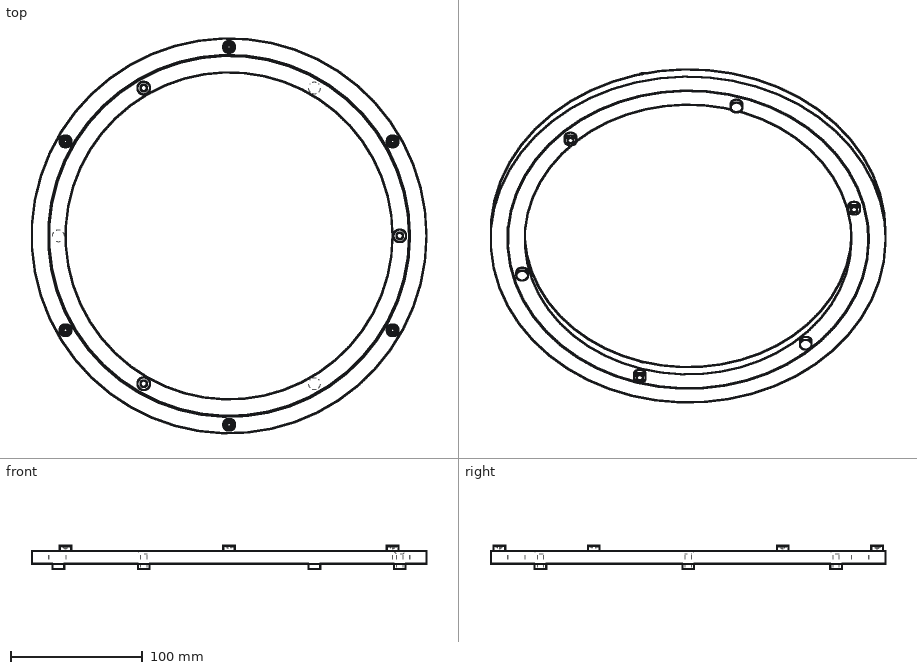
import cadquery as cq
import math

outer_ring_od = 300.0
outer_ring_id = 274.5
inner_ring_od = 273.5
inner_ring_id = 248.0
ring_height = 10.0

overall_height = 18.0
boss_height = (overall_height - ring_height) / 2
boss_diameter = 9.0
boss_count = 6

outer_boss_radius = 143.5
outer_boss_start = 30.0
cup_diameter = 7.2
socket_diameter = 4.8
pilot_diameter = 3.0
step_depth = 0.5
cone_angle = 118.0

inner_boss_radius = 129.5
inner_boss_start = 0.0
screw_hole_count = boss_count // 2
screw_hole_diameter = 4.8
countersink_diameter = 9.5
countersink_angle = 90.0

ring_top = ring_height / 2
ring_bottom = -ring_top
boss_top = ring_top + boss_height


def make_ring(outside_diameter, inside_diameter):
    """Flat ring centred on Z = 0."""
    base = cq.Workplane("XY", origin=(0, 0, ring_bottom))
    return base.circle(outside_diameter / 2).circle(inside_diameter / 2).extrude(ring_height)


def bolt_circle(z, radius, start_angle, count):
    """Evenly spaced points on a circle at height z."""
    return cq.Workplane("XY", origin=(0, 0, z)).polarArray(radius, start_angle, 360, count)


def make_recess_cutter():
    """Stepped recess: shallow cup, socket and pilot, closed by a cone; its mouth is at boss_top."""
    cup_floor = boss_top - step_depth
    socket_floor = cup_floor - step_depth
    pilot_floor = socket_floor - step_depth
    cone_depth = pilot_diameter / 2 / math.tan(math.radians(cone_angle / 2))
    half_section = (
        cq.Workplane("XZ")
        .moveTo(0, boss_top)
        .lineTo(cup_diameter / 2, boss_top)
        .lineTo(cup_diameter / 2, cup_floor)
        .lineTo(socket_diameter / 2, cup_floor)
        .lineTo(socket_diameter / 2, socket_floor)
        .lineTo(pilot_diameter / 2, socket_floor)
        .lineTo(pilot_diameter / 2, pilot_floor)
        .lineTo(0, pilot_floor - cone_depth)
        .close()
    )
    return half_section.revolve(360, (0, 0, 0), (0, 1, 0))


def make_outer_ring():
    """Larger ring with recessed bosses on its upper face."""
    ring = make_ring(outer_ring_od, outer_ring_id)
    boss_points = bolt_circle(ring_top, outer_boss_radius, outer_boss_start, boss_count)
    ring = ring.union(boss_points.circle(boss_diameter / 2).extrude(boss_height))
    recess_cutter = make_recess_cutter().translate((outer_boss_radius, 0, 0))
    for i in range(boss_count):
        angle = outer_boss_start + i * 360 / boss_count
        ring = ring.cut(recess_cutter.rotate((0, 0, 0), (0, 0, 1), angle))
    return ring


def make_inner_ring():
    """Smaller ring with bosses on its lower face and countersunk holes from its upper face."""
    ring = make_ring(inner_ring_od, inner_ring_id)
    boss_points = bolt_circle(ring_bottom, inner_boss_radius, inner_boss_start, boss_count)
    ring = ring.union(boss_points.circle(boss_diameter / 2).extrude(-boss_height))
    return (
        ring.faces(">Z")
        .workplane(origin=(0, 0, ring_top))
        .polarArray(inner_boss_radius, inner_boss_start, 360, screw_hole_count)
        .cskHole(screw_hole_diameter, countersink_diameter, countersink_angle)
    )


outer_ring = make_outer_ring()
inner_ring = make_inner_ring()

result = cq.Compound.makeCompound([outer_ring.solids().val(), inner_ring.solids().val()])